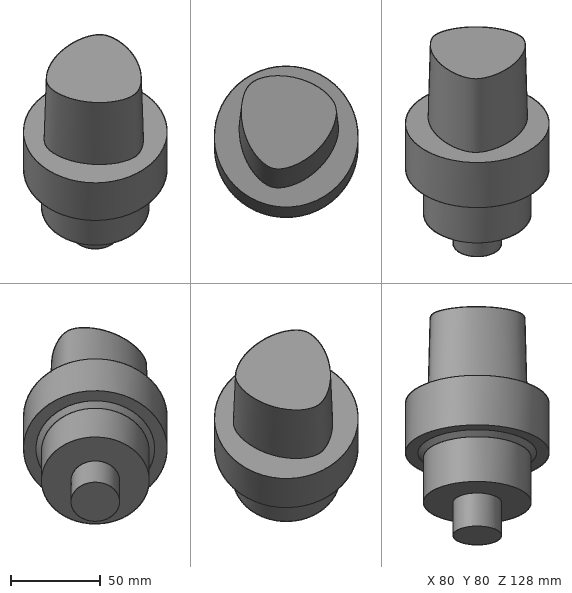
import cadquery as cq
import math

total_length = 128.0
pin_length = 20.0
body_length = 30.0
flange_length = 30.0
shank_length = total_length - pin_length - body_length - flange_length

pin_diameter = 27.0
body_diameter = 60.0
flange_diameter = 80.0

collar_top_diameter = 66.0
collar_height = 3.0

shank_base_width = 55.3
taper_ratio = 1 / 20
shank_top_width = shank_base_width - shank_length * taper_ratio
lobe_eccentricity = 2.0
curve_samples = 72

body_bottom = pin_length
flange_bottom = body_bottom + body_length
shank_bottom = flange_bottom + flange_length


def lobed_point(angle, width):
    """Point on a three-lobed constant-width curve with one lobe toward -Y."""
    along_lobe = (
        width / 2 * math.cos(angle)
        + 2 * lobe_eccentricity * math.cos(2 * angle)
        - lobe_eccentricity * math.cos(4 * angle)
    )
    across_lobe = (
        width / 2 * math.sin(angle)
        - 2 * lobe_eccentricity * math.sin(2 * angle)
        - lobe_eccentricity * math.sin(4 * angle)
    )
    return across_lobe, -along_lobe


def lobed_wire(width, height):
    """Closed smooth outline of the shank at the given height."""
    points = []
    for step in range(curve_samples):
        x, y = lobed_point(2 * math.pi * step / curve_samples, width)
        points.append(cq.Vector(x, y, height))
    return cq.Wire.assembleEdges([cq.Edge.makeSpline(points, periodic=True)])


def turned_base():
    """Pin, body, collar and flange revolved about Z."""
    return (
        cq.Workplane("XZ")
        .lineTo(pin_diameter / 2, 0)
        .lineTo(pin_diameter / 2, body_bottom)
        .lineTo(body_diameter / 2, body_bottom)
        .lineTo(body_diameter / 2, flange_bottom - collar_height)
        .lineTo(collar_top_diameter / 2, flange_bottom)
        .lineTo(flange_diameter / 2, flange_bottom)
        .lineTo(flange_diameter / 2, shank_bottom)
        .lineTo(0, shank_bottom)
        .close()
        .revolve(360, (0, 0, 0), (0, 1, 0))
    )


def tapered_shank():
    """Solid ruled between the wide lower and narrow upper lobed outlines."""
    lower = lobed_wire(shank_base_width, shank_bottom)
    upper = lobed_wire(shank_top_width, total_length)
    return cq.Workplane(cq.Solid.makeLoft([lower, upper], True))


result = turned_base().union(tapered_shank())